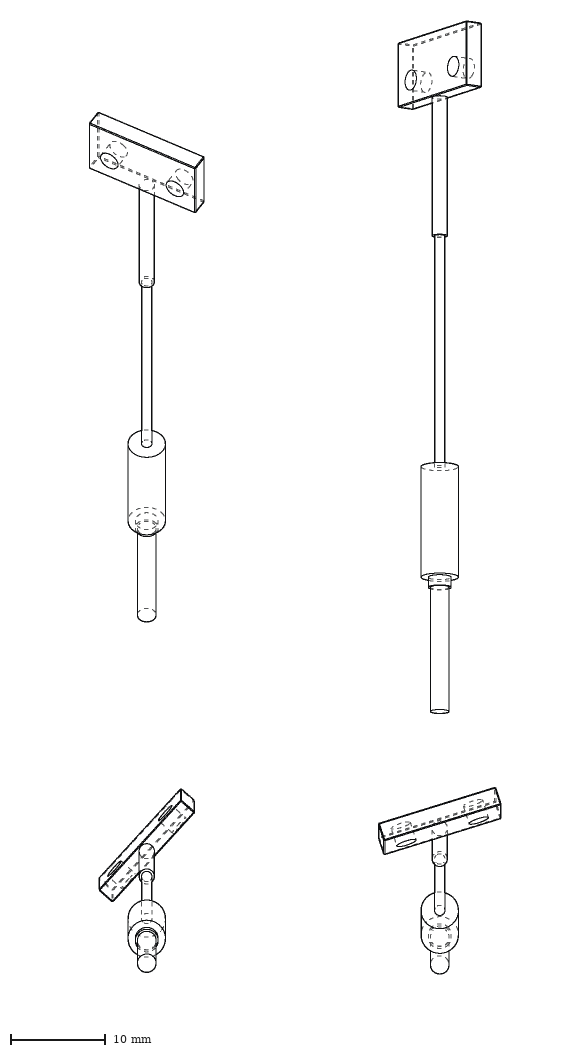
import cadquery as cq

total_height = 73.5

plate_width = 13.0
plate_thickness = 2.0
plate_height = 7.0
plate_edge_chamfer = 0.1
hole_diameter = 2.1
hole_spacing = 8.0
hole_below_top = 4.5

sleeve_diameter = 1.6
sleeve_length = 15.0
wire_diameter = 1.1
wire_length = 25.0
body_diameter = 4.0
body_length = 12.0
neck_diameter = 2.4
neck_length = 1.1
tail_diameter = 2.0

plate_bottom = total_height - plate_height
sleeve_bottom = plate_bottom - sleeve_length
wire_bottom = sleeve_bottom - wire_length
body_bottom = wire_bottom - body_length
neck_bottom = body_bottom - neck_length


def shaft_section(diameter, bottom, top):
    """Cylinder on the Z axis between two levels."""
    return cq.Workplane("XY").workplane(offset=bottom).circle(diameter / 2).extrude(top - bottom)


def mounting_plate():
    """Upright plate, chamfered on all edges, with two through holes along Y."""
    plate = (
        cq.Workplane("XY")
        .workplane(offset=plate_bottom)
        .rect(plate_width, plate_thickness)
        .extrude(plate_height)
        .edges()
        .chamfer(plate_edge_chamfer)
    )
    holes = (
        cq.Workplane("XZ", origin=(0, 0, total_height - hole_below_top))
        .pushPoints([(-hole_spacing / 2, 0), (hole_spacing / 2, 0)])
        .circle(hole_diameter / 2)
        .extrude(plate_thickness, both=True)
    )
    return plate.cut(holes)


result = (
    mounting_plate()
    .union(shaft_section(sleeve_diameter, sleeve_bottom, plate_bottom))
    .union(shaft_section(wire_diameter, wire_bottom, sleeve_bottom))
    .union(shaft_section(body_diameter, body_bottom, wire_bottom))
    .union(shaft_section(neck_diameter, neck_bottom, body_bottom))
    .union(shaft_section(tail_diameter, 0, neck_bottom))
)